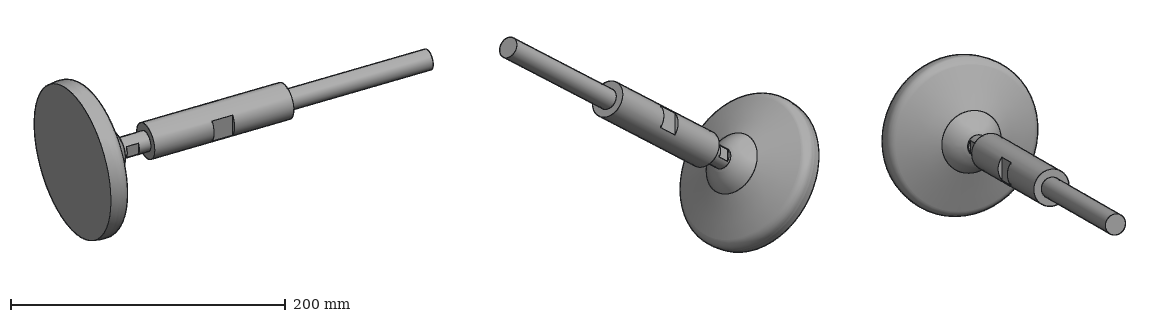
import cadquery as cq
import math

overall_length = 294.0

foot_radius = 60.0
underside_radius = 59.2
taper_height = 6.1
rim_height = 9.0
rim_fillet = 7.4
slope = math.radians(20.0)
dome_radius = 28.3
dome_centre = 11.7
lip_radius = 10.3
lip_height = 0.9
socket_floor = 27.5

stud_radius = 8.0
stud_flat_width = 13.0
stud_flat_length = 10.0
stud_flat_start = 41.0

sleeve_radius = 14.0
sleeve_start = 60.5
sleeve_length = 115.0
sleeve_flat_width = 22.0
sleeve_flat_length = 17.0
sleeve_flat_start = sleeve_start + (sleeve_length - sleeve_flat_length) / 2


def rod(radius, start, end):
    """Cylinder along Y from start to end."""
    return cq.Workplane("XZ", origin=(0, start, 0)).circle(radius).extrude(start - end)


def cut_wrench_flats(body, radius, width, start, length):
    """Cut a pair of parallel flats facing +X and -X."""
    depth = radius - width / 2
    for side in (-1, 1):
        cutter = cq.Workplane("XY").box(depth, length, 2 * radius)
        body = body.cut(cutter.translate((side * (width + depth) / 2, start + length / 2, 0)))
    return body


def dome_point(angle):
    """Point of the dome's outline, at an angle from the foot's axis."""
    return (dome_radius * math.sin(angle), dome_centre + dome_radius * math.cos(angle))


def fillet_point(angle):
    """Point of the rim fillet's outline, at an angle from the axis direction."""
    return (
        foot_radius - rim_fillet + rim_fillet * math.sin(angle),
        rim_height + rim_fillet * math.cos(angle),
    )


def make_foot():
    cone_bottom = fillet_point(slope)
    cone_distance = cone_bottom[0] * math.sin(slope) + (cone_bottom[1] - dome_centre) * math.cos(slope)
    cone_top_angle = slope + math.acos(cone_distance / dome_radius)
    lip_angle = math.asin(lip_radius / dome_radius)
    lip = dome_point(lip_angle)
    return (
        cq.Workplane("XY")
        .moveTo(0, 0)
        .lineTo(underside_radius, 0)
        .lineTo(foot_radius, taper_height)
        .lineTo(foot_radius, rim_height)
        .threePointArc(fillet_point((slope + math.pi / 2) / 2), cone_bottom)
        .lineTo(*dome_point(cone_top_angle))
        .threePointArc(dome_point((cone_top_angle + lip_angle) / 2), lip)
        .lineTo(stud_radius, lip[1] + lip_height)
        .lineTo(stud_radius, socket_floor)
        .lineTo(0, socket_floor)
        .close()
        .revolve(360, (0, 0, 0), (0, 1, 0))
    )


def make_stud():
    body = rod(stud_radius, socket_floor, overall_length)
    return cut_wrench_flats(body, stud_radius, stud_flat_width, stud_flat_start, stud_flat_length)


def make_sleeve():
    body = rod(sleeve_radius, sleeve_start, sleeve_start + sleeve_length)
    body = body.cut(rod(stud_radius, sleeve_start, sleeve_start + sleeve_length))
    return cut_wrench_flats(body, sleeve_radius, sleeve_flat_width, sleeve_flat_start, sleeve_flat_length)


foot = make_foot()
stud = make_stud()
sleeve = make_sleeve()

result = cq.Compound.makeCompound([foot.val(), stud.val(), sleeve.val()])